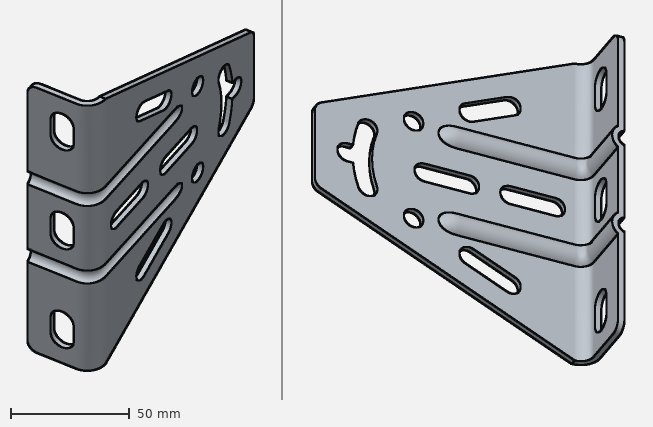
import cadquery as cq
import math

width = 33.0
depth = 130.0
height = 150.3
sheet = 3.0
bend_radius = 9.0
bend_x = width - bend_radius
bend_y = bend_radius

tip_half_height = 20.5
corner_radius = 5.0
taper_angle = math.degrees(math.atan2(height / 2 - tip_half_height, depth - bend_y))

rib_z = 22.0
rib_outer_radius = 6.8
rib_inner_radius = rib_outer_radius - sheet
rib_axis_offset = 0.98
rib_straight_end_y = 63.9
rib_runout_radius = 14.6

hole_diameter = 9.0
hole_y = 84.0
hole_z = 24.5
slot_length = 30.0
slot_centers_y = (28.5, 68.5)
tilted_slot_y = 48.4
tilted_slot_z = 40.7
tilted_slot_length = 30.4
arc_slot_radius = 45.1
arc_slot_mid_y = 107.9
arc_slot_end_z = 14.7
notch_end_y = 115.0

flange_slot_x = width - 16.0
flange_slot_width = 11.3
flange_slot_length = 20.1
flange_slot_pitch = 56.0


def bent_region():
    """Everything on the inner side of the bracket's outer faces."""
    block = cq.Workplane("XY").box(width, depth, height, centered=(False, False, True))
    return block.edges("|Z and >X and <Y").fillet(bend_radius)


def bent_sheet(region):
    inner_radius = bend_radius - sheet
    cavity = (
        cq.Workplane("XY")
        .box(width, depth, height, centered=(False, False, True))
        .edges("|Z and >X and <Y").fillet(inner_radius)
        .translate((-sheet, sheet, 0))
    )
    return region.cut(cavity)


def trim_outline(body):
    plate_outline = (
        cq.Workplane("YZ")
        .polyline([
            (0, -height / 2),
            (bend_y, -height / 2),
            (depth, -tip_half_height),
            (depth, tip_half_height),
            (bend_y, height / 2),
            (0, height / 2),
        ])
        .close()
        .extrude(width)
        .edges("|X and >Y").fillet(corner_radius)
    )
    flange_outline = (
        cq.Workplane("XZ")
        .rect(2 * width, height)
        .extrude(-depth)
        .translate((width, 0, 0))
        .edges("|Y and <X").fillet(corner_radius)
    )
    return body.intersect(plate_outline).intersect(flange_outline)


def rib_core(radius, z):
    """Round bar along the flange, around the bend and along the plate, sinking at its end."""
    plate_axis_x = width + rib_axis_offset
    along_flange = (
        cq.Workplane("YZ").center(-rib_axis_offset, z).circle(radius).extrude(bend_x)
    )
    around_bend = (
        cq.Workplane("YZ", origin=(bend_x, 0, 0))
        .center(-rib_axis_offset, z).circle(radius)
        .revolve(90, (bend_y + rib_axis_offset, 0), (bend_y + rib_axis_offset, 1))
    )
    along_plate = (
        cq.Workplane("XZ", origin=(0, bend_y, 0))
        .center(plate_axis_x, z).circle(radius).extrude(bend_y - rib_straight_end_y)
    )
    turn = rib_runout_radius - rib_outer_radius
    run_out = (
        cq.Workplane("XZ", origin=(0, rib_straight_end_y, 0))
        .center(plate_axis_x, z).circle(radius)
        .revolve(90, (turn, 0), (turn, -1))
    )
    return along_flange.union(around_bend).union(along_plate).union(run_out)


def plate_slot(y, z, length, angle=0):
    return (
        cq.Workplane("YZ", origin=(0, y, z))
        .slot2D(length, hole_diameter, angle).extrude(width + sheet)
    )


def arc_slot():
    half_width = hole_diameter / 2
    center_y = arc_slot_mid_y - arc_slot_radius
    half_angle = math.asin(arc_slot_end_z / arc_slot_radius)

    def point(radius, angle):
        return (center_y + radius * math.cos(angle), radius * math.sin(angle))

    inner = arc_slot_radius - half_width
    outer = arc_slot_radius + half_width
    band = (
        cq.Workplane("YZ")
        .moveTo(*point(inner, -half_angle))
        .threePointArc(point(inner, 0), point(inner, half_angle))
        .lineTo(*point(outer, half_angle))
        .threePointArc(point(outer, 0), point(outer, -half_angle))
        .close()
        .extrude(width)
    )
    ends = (
        cq.Workplane("YZ")
        .pushPoints([point(arc_slot_radius, a) for a in (-half_angle, half_angle)])
        .circle(half_width)
        .extrude(width)
    )
    notch_length = notch_end_y - arc_slot_mid_y + hole_diameter
    notch = plate_slot((notch_end_y + arc_slot_mid_y) / 2, 0, notch_length)
    return band.union(ends).union(notch)


def flange_slots():
    centers = [(flange_slot_x, i * flange_slot_pitch) for i in (-1, 0, 1)]
    return (
        cq.Workplane("XZ").pushPoints(centers)
        .slot2D(flange_slot_length, flange_slot_width, 90).extrude(-2 * sheet)
    )


region = bent_region()
result = trim_outline(bent_sheet(region))

for side in (-1, 1):
    rib = rib_core(rib_outer_radius, side * rib_z).intersect(region)
    result = result.union(rib).cut(rib_core(rib_inner_radius, side * rib_z))

for slot_y in slot_centers_y:
    result = result.cut(plate_slot(slot_y, 0, slot_length))

for side in (-1, 1):
    hole = (
        cq.Workplane("YZ", origin=(0, hole_y, side * hole_z))
        .circle(hole_diameter / 2).extrude(width)
    )
    tilt = -side * taper_angle
    tilted_slot = plate_slot(tilted_slot_y, side * tilted_slot_z, tilted_slot_length, tilt)
    result = result.cut(hole).cut(tilted_slot)

result = result.cut(arc_slot()).cut(flange_slots())